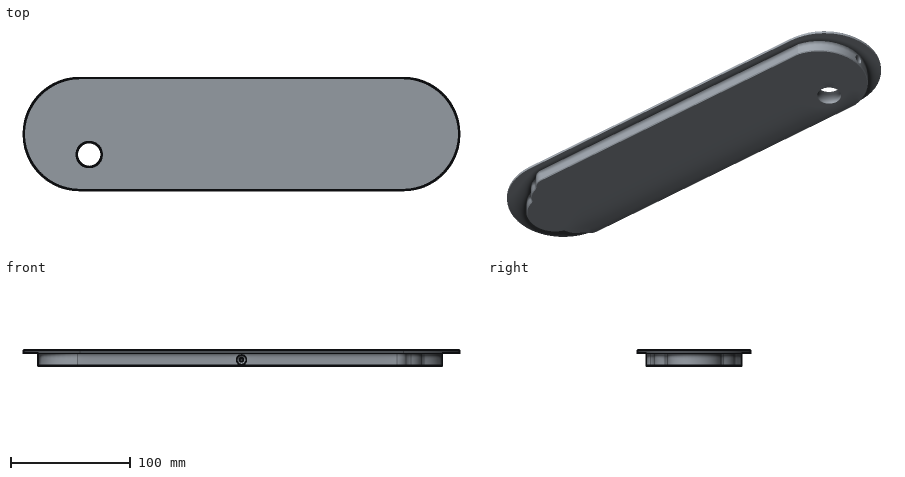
import cadquery as cq
import math

plate_length = 365
plate_width = 94.5
plate_thickness = 3.0
edge_chamfer = 0.7

total_height = 14.0
body_depth = total_height - plate_thickness
body_half_width = 40.0
body_left_end = -170.5
left_arc_radius = 41.0

wave_start = (130.0, -body_half_width)
wave_points = [(137.3, -36.5), (141.5, -33.2), (150.5, -24.5), (152.5, -22.3)]

through_diameter = 20.0
through_x = -127.5
through_y = -17.0

screw_diameter = 3.2
sink_diameter = 8.0
sink_depth = (sink_diameter - screw_diameter) / 2
screw_depth = 11.0
screw_z = -body_depth / 2


def tip_position():
    """Tip on the X axis whose arc is tangent to the wave and centered on the axis."""
    heading = 0
    previous = wave_start
    for point in wave_points:
        chord = math.atan2(point[1] - previous[1], point[0] - previous[0])
        heading = 2 * chord - heading
        previous = point
    wave_end_x, wave_end_y = previous
    tip_radius = -wave_end_y / math.cos(heading)
    return (wave_end_x + tip_radius * (1 - math.sin(heading)), 0)


def make_plate():
    blank = cq.Workplane("XY").slot2D(plate_length, plate_width).extrude(plate_thickness)
    return blank.faces(">Z").edges().chamfer(edge_chamfer)


def make_body():
    outline = cq.Workplane("XY").moveTo(body_left_end, 0)
    outline = outline.lineTo(body_left_end, -body_half_width).lineTo(*wave_start)
    for point in wave_points + [tip_position()]:
        outline = outline.tangentArcPoint(point, relative=False)
    half = outline.close().extrude(-body_depth)
    half = half.faces("<Z").edges("not(>Y)").chamfer(edge_chamfer)
    body = half.union(half.mirror("XZ"))

    rounding_slot = (
        cq.Workplane("XY")
        .center(body_left_end + plate_length / 2, 0)
        .slot2D(plate_length, 2 * left_arc_radius)
        .extrude(-body_depth)
    )
    rounding_slot = rounding_slot.faces("<Z").edges().chamfer(edge_chamfer)
    return body.intersect(rounding_slot)


def through_hole():
    """Through-hole cutter with a flared mouth at the top of the plate."""
    radius = through_diameter / 2
    bore = cq.Solid.makeCylinder(radius, total_height, cq.Vector(through_x, through_y, -body_depth))
    mouth = cq.Solid.makeCone(
        radius, radius + edge_chamfer, edge_chamfer,
        cq.Vector(through_x, through_y, plate_thickness - edge_chamfer),
    )
    return bore.fuse(mouth)


def screw_hole(x, y, inward):
    """Countersunk blind hole starting on the side wall at (x, y)."""
    mouth = cq.Vector(x, y, screw_z)
    bore = cq.Solid.makeCylinder(screw_diameter / 2, screw_depth, mouth, inward)
    sink = cq.Solid.makeCone(sink_diameter / 2, screw_diameter / 2, sink_depth, mouth, inward)
    return bore.fuse(sink)


result = make_plate().union(make_body())
result = result.cut(cq.Workplane(through_hole()))
result = result.cut(cq.Workplane(screw_hole(0, -body_half_width, cq.Vector(0, 1, 0))))
result = result.cut(cq.Workplane(screw_hole(body_left_end, 0, cq.Vector(1, 0, 0))))